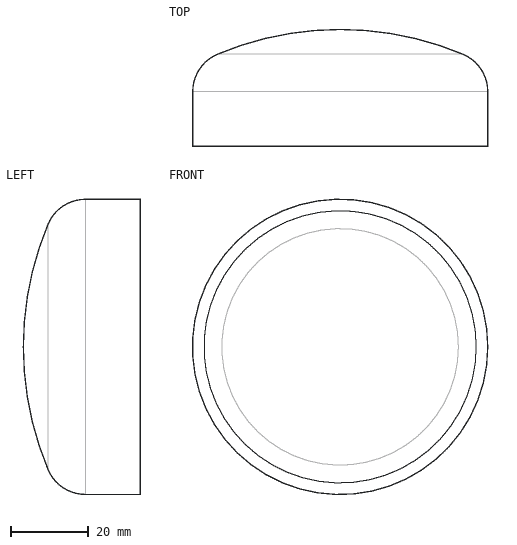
import cadquery as cq
import math

outer_diameter = 76.1
inner_diameter = 70.1
total_depth = 30.1
skirt_depth = 14.1
knuckle_radius = 10.5

outer_radius = outer_diameter / 2
wall = (outer_diameter - inner_diameter) / 2
head_depth = total_depth - skirt_depth

knuckle_center_x = outer_radius - knuckle_radius

dome_radius = (
    (head_depth**2 + knuckle_center_x**2 - knuckle_radius**2)
    / (2 * (head_depth - knuckle_radius))
)
dome_center_y = total_depth - dome_radius

tangent_angle = math.asin(knuckle_center_x / (dome_radius - knuckle_radius))


def knuckle_point(radius, angle):
    """Point on a knuckle arc, with the angle measured from the Y axis."""
    return (
        knuckle_center_x + radius * math.sin(angle),
        skirt_depth + radius * math.cos(angle),
    )


def dome_point(radius, angle):
    """Point on a dome arc, with the angle measured from the Y axis."""
    return (
        radius * math.sin(angle),
        dome_center_y + radius * math.cos(angle),
    )


def solid_cap(offset):
    """Solid bounded by the outer surface moved inward by the offset."""
    skirt_radius = outer_radius - offset
    knuckle = knuckle_radius - offset
    dome = dome_radius - offset
    knuckle_middle_angle = (math.pi / 2 + tangent_angle) / 2
    return (
        cq.Workplane("XY")
        .lineTo(skirt_radius, 0)
        .lineTo(skirt_radius, skirt_depth)
        .threePointArc(
            knuckle_point(knuckle, knuckle_middle_angle),
            knuckle_point(knuckle, tangent_angle),
        )
        .threePointArc(
            dome_point(dome, tangent_angle / 2),
            dome_point(dome, 0),
        )
        .close()
        .revolve(360, (0, 0, 0), (0, 1, 0))
    )


result = solid_cap(0).cut(solid_cap(wall))